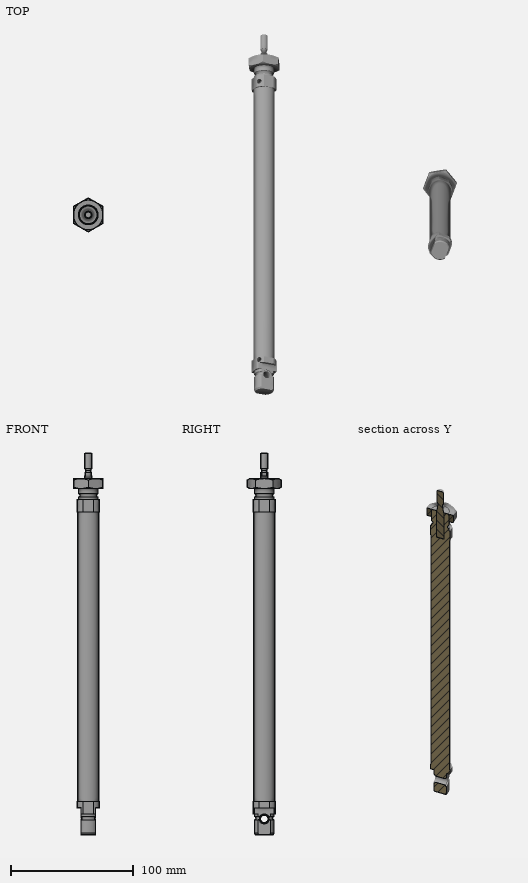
import cadquery as cq
import math

CAP_LENGTH = 10.0
PIVOT_Z = 13.0
REAR_CAP_BOTTOM = 17.0
TONGUE_TOP = 22.0
REAR_CAP_TOP = REAR_CAP_BOTTOM + CAP_LENGTH
FRONT_CAP_BOTTOM = 263.0
FRONT_CAP_TOP = FRONT_CAP_BOTTOM + CAP_LENGTH
NOSE_TOP = 290.0
WRENCH_FLAT_BOTTOM = 292.0
ROD_SHOULDER = 295.0
ROD_TIP = 311.0

TUBE_DIAMETER = 17.3
CAP_DIAMETER = 20.0
CAP_ACROSS_FLATS = 18.0
THREAD_DIAMETER = 16.0
THREAD_ROOT_DIAMETER = 14.38
THREAD_CHAMFER_ANGLE = math.radians(30)
THREAD_CHAMFER_DEPTH = (THREAD_DIAMETER - THREAD_ROOT_DIAMETER) / 2
THREAD_CHAMFER_LENGTH = THREAD_CHAMFER_DEPTH / math.tan(THREAD_CHAMFER_ANGLE)

RELIEF_DIAMETER = 13.7
RELIEF_RADIUS = (THREAD_DIAMETER - RELIEF_DIAMETER) / 2
RELIEF_START = 2.0
RELIEF_END = 4.75

TONGUE_THICKNESS = 12.0
PIVOT_DIAMETER = 6.0
PIVOT_RECESS_DIAMETER = 8.0
PIVOT_RECESS_DEPTH = 1.0

PORT_DIAMETER = 4.13
PORT_DEPTH = 5.0
PORT_ANGLE = 130.0
FRONT_PORT_Z = 267.5
REAR_PORT_Z = 24.5

ROD_DIAMETER = 6.0
ROD_BOTTOM = FRONT_CAP_BOTTOM
ROD_ACROSS_FLATS = 5.0
ROD_TIP_DIAMETER = 4.8
ROD_TIP_CHAMFER = (ROD_DIAMETER - ROD_TIP_DIAMETER) / 2

NECK_DIAMETER = 4.13
NECK_FOOT_RADIUS = 0.5
NECK_CONE_DIAMETER = 5.4
NECK_CONE_START = 1.7
NECK_LENGTH = 3.5

NUT_ACROSS_FLATS = 24.0
NUT_ACROSS_CORNERS = NUT_ACROSS_FLATS / math.cos(math.pi / 6)
NUT_THICKNESS = 8.0
NUT_BEVEL_ANGLE = math.radians(30)


def cylinder(diameter, bottom, top):
    return cq.Workplane("XY").workplane(offset=bottom).circle(diameter / 2).extrude(top - bottom)


def box(size_x, size_y, bottom, top):
    return cq.Workplane("XY").workplane(offset=bottom).rect(size_x, size_y).extrude(top - bottom)


def turn(profile):
    """Revolve a closed half profile of radius and height about the Z axis."""
    return profile.close().revolve(360, (0, 0, 0), (0, 1, 0))


def arc_inset(radius):
    """Distance from a fillet's two tangent lines to the middle of its arc."""
    return radius * (1 - math.sqrt(0.5))


def end_cap(bottom):
    """Square block whose corners are turned round."""
    top = bottom + CAP_LENGTH
    block = box(CAP_ACROSS_FLATS, CAP_ACROSS_FLATS, bottom, top)
    return cylinder(CAP_DIAMETER, bottom, top).intersect(block)


def threaded_end(length):
    """Threaded piece rising from Z = 0, with a rounded relief groove near its foot."""
    outer = THREAD_DIAMETER / 2
    floor = RELIEF_DIAMETER / 2
    inset = arc_inset(RELIEF_RADIUS)
    profile = (
        cq.Workplane("XZ")
        .lineTo(outer, 0)
        .lineTo(outer, RELIEF_START)
        .threePointArc((floor + inset, RELIEF_START + inset), (floor, RELIEF_START + RELIEF_RADIUS))
        .lineTo(floor, RELIEF_END - RELIEF_RADIUS)
        .threePointArc((floor + inset, RELIEF_END - inset), (outer, RELIEF_END))
        .lineTo(outer, length - THREAD_CHAMFER_LENGTH)
        .lineTo(outer - THREAD_CHAMFER_DEPTH, length)
        .lineTo(0, length)
    )
    return turn(profile)


def port(height):
    """Blind radial drilling, long enough to clear the cap outside."""
    drill = cq.Workplane("YZ").workplane(offset=CAP_DIAMETER / 2 - PORT_DEPTH)
    drill = drill.circle(PORT_DIAMETER / 2).extrude(2 * PORT_DEPTH)
    return drill.rotate((0, 0, 0), (0, 0, 1), PORT_ANGLE).translate((0, 0, height))


def pivot_hole():
    """Cross hole through the tongue along X, with a shallow counterbore on each side."""
    half = TONGUE_THICKNESS / 2
    hole = cq.Workplane("YZ").circle(PIVOT_DIAMETER / 2).extrude(half, both=True)
    for start in (-half, half - PIVOT_RECESS_DEPTH):
        recess = cq.Workplane("YZ").workplane(offset=start)
        hole = hole.union(recess.circle(PIVOT_RECESS_DIAMETER / 2).extrude(PIVOT_RECESS_DEPTH))
    return hole.translate((0, 0, PIVOT_Z))


def front_end():
    nose = threaded_end(NOSE_TOP - FRONT_CAP_TOP).translate((0, 0, FRONT_CAP_TOP))
    return end_cap(FRONT_CAP_BOTTOM).union(nose)


def rear_end():
    """Rear cap and thread, flattened to a pivot tongue below TONGUE_TOP."""
    thread = threaded_end(REAR_CAP_BOTTOM).rotate((0, 0, 0), (1, 0, 0), 180)
    rear = end_cap(REAR_CAP_BOTTOM).union(thread.translate((0, 0, REAR_CAP_BOTTOM)))
    tongue = box(TONGUE_THICKNESS, CAP_DIAMETER, 0, TONGUE_TOP)
    above_tongue = box(CAP_DIAMETER, CAP_DIAMETER, TONGUE_TOP, REAR_CAP_TOP)
    return rear.intersect(tongue.union(above_tongue)).cut(pivot_hole())


def make_housing():
    tube = cylinder(TUBE_DIAMETER, REAR_CAP_TOP, FRONT_CAP_BOTTOM)
    body = tube.union(front_end()).union(rear_end())
    for height in (REAR_PORT_Z, FRONT_PORT_Z):
        body = body.cut(port(height))
    return body.cut(cylinder(ROD_DIAMETER, ROD_BOTTOM, NOSE_TOP))


def rod_neck():
    radius = NECK_DIAMETER / 2
    inset = arc_inset(NECK_FOOT_RADIUS)
    profile = (
        cq.Workplane("XZ")
        .lineTo(radius + NECK_FOOT_RADIUS, 0)
        .threePointArc((radius + inset, inset), (radius, NECK_FOOT_RADIUS))
        .lineTo(radius, NECK_CONE_START)
        .lineTo(NECK_CONE_DIAMETER / 2, NECK_LENGTH)
        .lineTo(0, NECK_LENGTH)
    )
    return turn(profile).translate((0, 0, ROD_SHOULDER))


def make_rod():
    body = cylinder(ROD_DIAMETER, ROD_BOTTOM, WRENCH_FLAT_BOTTOM)
    flats = cylinder(ROD_DIAMETER, WRENCH_FLAT_BOTTOM, ROD_SHOULDER).intersect(
        box(ROD_ACROSS_FLATS, ROD_DIAMETER, WRENCH_FLAT_BOTTOM, ROD_SHOULDER)
    )
    thread = cylinder(ROD_DIAMETER, ROD_SHOULDER + NECK_LENGTH, ROD_TIP)
    thread = thread.faces(">Z").chamfer(ROD_TIP_CHAMFER)
    return body.union(flats).union(rod_neck()).union(thread)


def make_nut():
    """Hexagon nut with two corners on the Y axis, bevelled at the corners of both faces."""
    bottom = NOSE_TOP - NUT_THICKNESS
    hexagon = cq.Workplane("XY").workplane(offset=bottom).polygon(6, NUT_ACROSS_CORNERS)
    body = hexagon.extrude(NUT_THICKNESS).rotate((0, 0, 0), (0, 0, 1), 30)
    bevel_width = (NUT_ACROSS_CORNERS - NUT_ACROSS_FLATS) / 2
    bevel_height = bevel_width * math.tan(NUT_BEVEL_ANGLE)
    turned = cylinder(NUT_ACROSS_CORNERS, bottom, NOSE_TOP)
    turned = turned.faces("<Z or >Z").chamfer(bevel_height, bevel_width)
    return body.intersect(turned).cut(cylinder(THREAD_DIAMETER, bottom, NOSE_TOP))


housing = make_housing().solids()
rod = make_rod().solids()
nut = make_nut().solids()

result = cq.Compound.makeCompound([housing.val(), rod.val(), nut.val()])